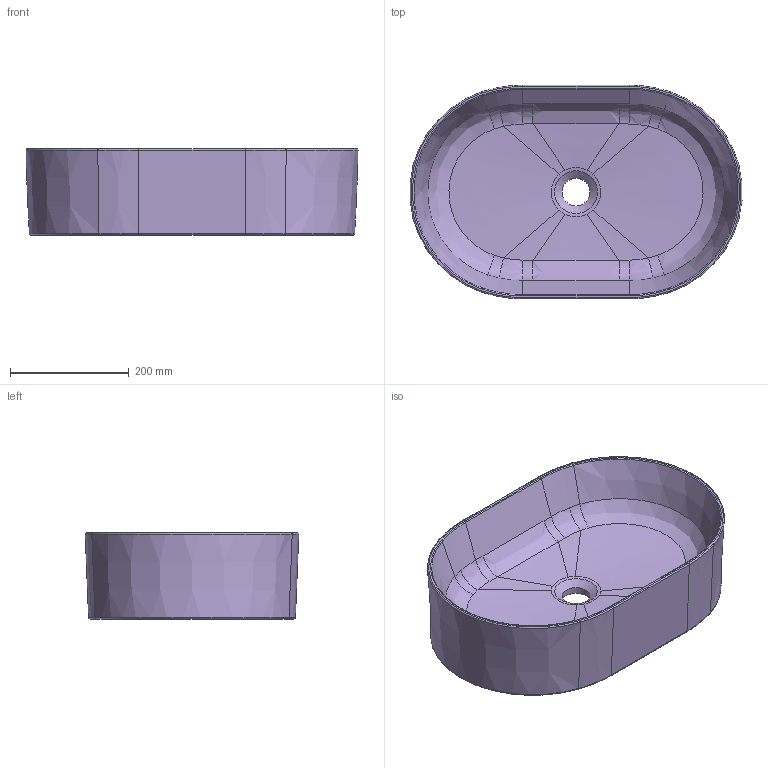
import cadquery as cq
import math

HEIGHT = 145.01
HALF_LENGTH = 280.06
HALF_WIDTH = 179.8
STRAIGHT_HALF = 90.0
END_CENTER_X = 102.25
OUTER_TAPER = 2.3
RIM_FILLET = 2.0
BOTTOM_FILLET = 3.0

RIM_WIDTH = 6.5
BOWL_TAPER = 20.0
FLOOR_EDGE_Z = 54.0
BOWL_FILLET = 40.0
EDGE_TOLERANCE = 0.5

DRAIN_RIM_RADIUS = 41.5
DRAIN_RIM_Z = 44.5
DRAIN_MOUTH_RADIUS = 36.0
DRAIN_MOUTH_Z = 43.5
DRAIN_RADIUS = 23.5
DRAIN_SEAT_Z = 34.0

UNDERSIDE_Z = 22.5
FOOT_WIDTH = 25.0


def outline_nodes(inset):
    """Points of the +X +Y quarter: end of the flat, middle of the blend, its join to the end arc, tip."""
    end_radius = HALF_LENGTH - END_CENTER_X
    center_step = END_CENTER_X - STRAIGHT_HALF
    radius_gap = HALF_WIDTH - end_radius
    blend_radius = end_radius + (center_step**2 + radius_gap**2) / (2 * radius_gap)
    blend_center_y = HALF_WIDTH - blend_radius
    join_angle = math.atan2(-blend_center_y, center_step)
    middle_angle = (join_angle + math.pi / 2) / 2
    reach = blend_radius - inset
    straight_end = (STRAIGHT_HALF, HALF_WIDTH - inset)
    blend_middle = (
        STRAIGHT_HALF + reach * math.cos(middle_angle),
        blend_center_y + reach * math.sin(middle_angle),
    )
    join = (
        STRAIGHT_HALF + reach * math.cos(join_angle),
        blend_center_y + reach * math.sin(join_angle),
    )
    tip = (HALF_LENGTH - inset, 0)
    return straight_end, blend_middle, join, tip


def mirrored(point, x_sign, y_sign):
    return (x_sign * point[0], y_sign * point[1])


def oval(plane, inset):
    """Closed oval drawn clockwise, inset evenly from the rim outline."""
    straight_end, blend_middle, join, tip = outline_nodes(inset)
    sketch = plane.moveTo(*mirrored(straight_end, -1, 1))
    for side in (1, -1):
        sketch = (
            sketch.lineTo(*mirrored(straight_end, side, side))
            .threePointArc(mirrored(blend_middle, side, side), mirrored(join, side, side))
            .threePointArc(mirrored(tip, side, side), mirrored(join, side, -side))
            .threePointArc(mirrored(blend_middle, side, -side), mirrored(straight_end, side, -side))
        )
    return sketch.close()


def drain_circle(sketch):
    """Drain rim as eight arcs, one facing each edge of the oval."""
    straight_end, _, join, _ = outline_nodes(0)
    straight_angle = math.atan2(straight_end[1], straight_end[0])
    join_angle = math.atan2(join[1], join[0])
    half_turn = [straight_angle, join_angle, -join_angle, -straight_angle]
    angles = half_turn + [angle - math.pi for angle in half_turn]

    def on_rim(angle):
        return (DRAIN_RIM_RADIUS * math.cos(angle), DRAIN_RIM_RADIUS * math.sin(angle))

    previous = math.pi - straight_angle
    sketch = sketch.moveTo(*on_rim(previous))
    for angle in angles:
        sketch = sketch.threePointArc(on_rim((previous + angle) / 2), on_rim(angle))
        previous = angle
    return sketch.close()


def outer_body():
    body = oval(cq.Workplane("XY", origin=(0, 0, HEIGHT)), 0).extrude(-HEIGHT, taper=OUTER_TAPER)
    return body.faces("<Z").edges().fillet(BOTTOM_FILLET)


def bowl():
    wall_height = HEIGHT - FLOOR_EDGE_Z
    wall_run = wall_height * math.tan(math.radians(BOWL_TAPER))
    rim_plane = cq.Workplane("XY", origin=(0, 0, HEIGHT))
    wall = oval(rim_plane, RIM_WIDTH).extrude(-wall_height, taper=BOWL_TAPER)
    floor = oval(cq.Workplane("XY", origin=(0, 0, FLOOR_EDGE_Z)), RIM_WIDTH + wall_run)
    floor = drain_circle(floor.workplane(offset=DRAIN_RIM_Z - FLOOR_EDGE_Z)).loft(ruled=True)
    corner = cq.selectors.BoxSelector(
        (-HALF_LENGTH, -HALF_WIDTH, FLOOR_EDGE_Z - EDGE_TOLERANCE),
        (HALF_LENGTH, HALF_WIDTH, FLOOR_EDGE_Z + EDGE_TOLERANCE),
    )
    return wall.union(floor).edges(corner).fillet(BOWL_FILLET)


def drain():
    """Drain passage: sloping lip, conical seat, straight hole."""
    return (
        cq.Workplane("XZ")
        .moveTo(0, DRAIN_RIM_Z)
        .lineTo(DRAIN_RIM_RADIUS, DRAIN_RIM_Z)
        .lineTo(DRAIN_MOUTH_RADIUS, DRAIN_MOUTH_Z)
        .lineTo(DRAIN_RADIUS, DRAIN_SEAT_Z)
        .lineTo(DRAIN_RADIUS, 0)
        .lineTo(0, 0)
        .close()
        .revolve(360, (0, 0), (0, 1))
    )


def underside_hollow():
    bottom_inset = HEIGHT * math.tan(math.radians(OUTER_TAPER))
    return oval(cq.Workplane("XY"), bottom_inset + FOOT_WIDTH).extrude(UNDERSIDE_Z)


basin = outer_body().cut(bowl())
basin = basin.faces(">Z").edges().fillet(RIM_FILLET)
result = basin.cut(drain()).cut(underside_hollow())